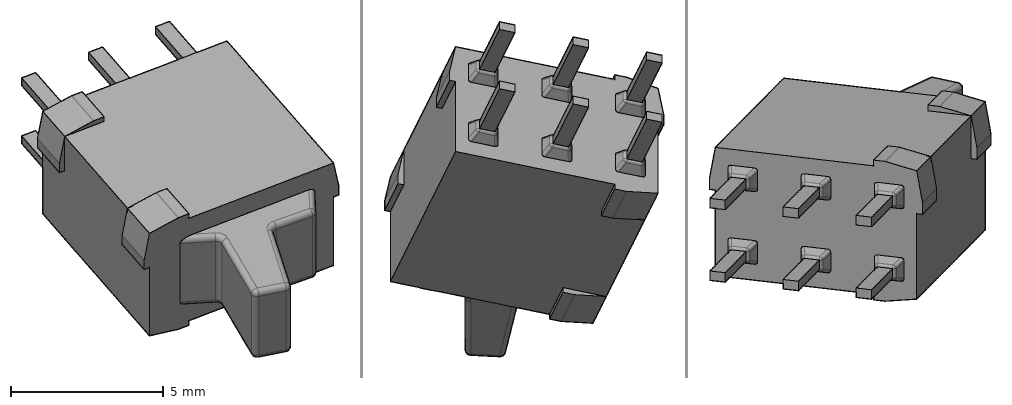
import cadquery as cq
import math

housing_length = 7.0
housing_width = 6.99
housing_height = 4.49
housing_front = housing_length

pad_length = 1.45
pad_rise = 1.5
pad_slope = 8.2
pad_flat = 3.0

terminal_pitch = 2.54
terminal_columns = 3
terminal_rows = 2
pin_reach = 2.58
pin_width = 0.53
pin_height = 0.33
boss_width = 1.03
boss_height = 0.83
boss_length = 0.44
boss_inset = 0.17
boss_round = 0.12

lever_tilt = 13.3
lever_thickness = 2.97
lever_round = 0.2
pivot_depth = 0.33
neck_reach = 1.12
neck_half_width = 0.9
handle_length = 3.0
tip_half_width = 0.65
shoulder_half_width = 2.49
shoulder_setback = 0.32
rocker_flank_angle = 15.0
rocker_depth = 2.67


def make_pad(edge, outward, inward):
    """Wedge starting flush at a housing edge (y, z) and rising outward as it runs inward along a face."""
    profile = [
        (0, 0),
        (pad_rise, pad_slope),
        (pad_rise, pad_slope + pad_flat),
        (0, pad_slope + pad_flat),
    ]
    points = [
        (
            edge[0] + outward[0] * rise + inward[0] * run,
            edge[1] + outward[1] * rise + inward[1] * run,
        )
        for rise, run in profile
    ]
    return cq.Workplane("YZ").polyline(points).close().extrude(pad_length)


def make_terminal():
    """Tapered boss with rounded edges and its pin, on the rear face, pointing to -X."""
    taper = math.degrees(math.atan(boss_inset / boss_length))
    boss = (
        cq.Workplane("YZ")
        .rect(boss_width, boss_height)
        .extrude(-boss_length, taper=taper)
        .edges("not >X")
        .fillet(boss_round)
    )
    pin = cq.Workplane("YZ").rect(pin_width, pin_height).extrude(-pin_reach)
    return boss.union(pin)


def make_housing():
    """Block with locating pads at both ends and a grid of terminals on the rear face."""
    block = cq.Workplane("XY").box(
        housing_length, housing_width, housing_height, centered=(False, True, True)
    )

    y_side = housing_width / 2
    z_side = housing_height / 2
    left, right, down, up = (-0.13, 0), (0.13, 0), (0, -0.13), (0, 0.13)
    pads = [
        make_pad((-y_side, z_side), outward=left, inward=down),
        make_pad((y_side, z_side), outward=right, inward=down),
        make_pad((-y_side, z_side), outward=up, inward=right),
        make_pad((-y_side, -z_side), outward=down, inward=right),
    ]
    for pad in pads:
        for pad_start in (0, housing_length - pad_length):
            block = block.union(pad.translate((pad_start, 0, 0)))

    terminal = make_terminal()
    for column in range(terminal_columns):
        for row in range(terminal_rows):
            y = (column - (terminal_columns - 1) / 2) * terminal_pitch
            z = (row - (terminal_rows - 1) / 2) * terminal_pitch
            block = block.union(terminal.translate((0, y, z)))
    return block


def make_lever():
    """Rounded rocker and handle, tilted toward -Y and ending flat against the housing front."""
    shoulder_reach = neck_reach - shoulder_setback
    root_half_width = shoulder_half_width + math.tan(math.radians(rocker_flank_angle)) * (
        shoulder_reach + rocker_depth
    )
    upper_half = [
        (-rocker_depth, root_half_width),
        (shoulder_reach, shoulder_half_width),
        (neck_reach, neck_half_width),
        (neck_reach + handle_length, tip_half_width),
    ]
    lower_half = [(reach, -half_width) for reach, half_width in reversed(upper_half)]
    rounded = (
        cq.Workplane("XY")
        .polyline(upper_half + lower_half)
        .close()
        .extrude(lever_thickness / 2, both=True)
        .edges("|Z")
        .fillet(lever_round)
        .faces("|Z")
        .edges()
        .fillet(lever_round)
    )
    tilted = rounded.rotate((0, 0, 0), (0, 0, 1), -lever_tilt).translate(
        (housing_front - pivot_depth, 0, 0)
    )
    exposed = cq.Workplane("XY").box(
        neck_reach + handle_length, housing_width, housing_height, centered=(False, True, True)
    )
    return tilted.intersect(exposed.translate((housing_front, 0, 0)))


housing = make_housing()
lever = make_lever()

result = cq.Compound.makeCompound([housing.val(), lever.val()])